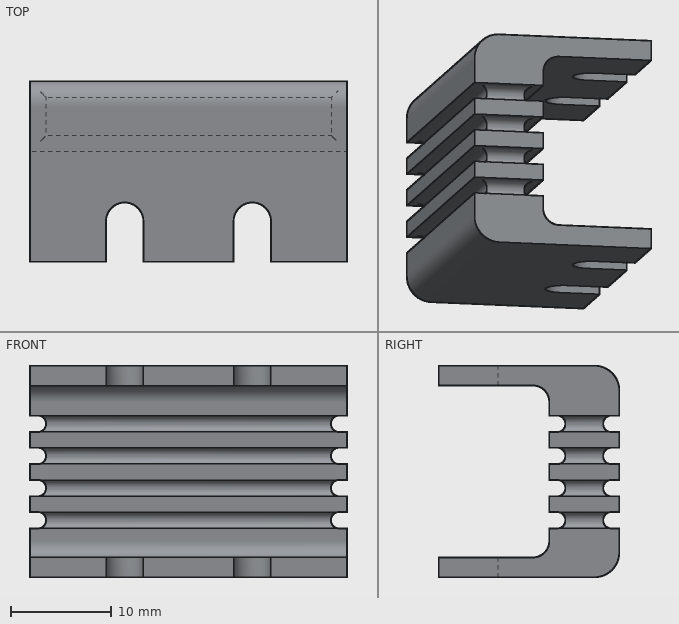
import cadquery as cq

LENGTH = 31.6
DEPTH = 18.0
HEIGHT = 21.09
WALL = 7.0
LEG = 2.0
OUTER_RADIUS = 2.5
INNER_RADIUS = 1.6

SLOT_WIDTH = 3.7
SLOT_DEPTH = 5.9
SLOT_SPACING = 12.7

GROOVE_COUNT = 4
GROOVE_HEIGHT = 1.6
FIN_THICKNESS = 1.6
GROOVE_PITCH = GROOVE_HEIGHT + FIN_THICKNESS
TOP_TO_GROOVE = 5.0
GROOVE_DEPTH = 1.6
GROOVE_FLAT = 0.1
GROOVE_RADIUS = (GROOVE_HEIGHT - GROOVE_FLAT) / 2

BACK = DEPTH / 2
TIP = -DEPTH / 2
WALL_CENTER = BACK - WALL / 2


def make_channel():
    """C-shaped body with rounded outer and inner bends."""
    body = cq.Workplane("XY").box(LENGTH, DEPTH, HEIGHT)
    body = body.edges("|X and >Y").fillet(OUTER_RADIUS)
    opening = (
        cq.Workplane("XY")
        .box(LENGTH, DEPTH - WALL, HEIGHT - 2 * LEG)
        .edges("|X and >Y")
        .fillet(INNER_RADIUS)
        .translate((0, TIP + (DEPTH - WALL) / 2, 0))
    )
    return body.cut(opening)


def make_leg_slot(x):
    """Round-ended slot, open at the leg tips, through both legs."""
    radius = SLOT_WIDTH / 2
    arc_start = TIP + SLOT_DEPTH - radius
    return (
        cq.Workplane("XY", origin=(x, 0, -HEIGHT / 2))
        .moveTo(-radius, TIP)
        .lineTo(-radius, arc_start)
        .threePointArc((0, TIP + SLOT_DEPTH), (radius, arc_start))
        .lineTo(radius, TIP)
        .close()
        .extrude(HEIGHT)
    )


def make_neck_strip(plane, edge_direction, width, thickness):
    """Groove-high strip, centred on the plane, with both ends hollowed by the groove section."""
    strip = cq.Workplane(plane).rect(width, GROOVE_HEIGHT).extrude(thickness / 2, both=True)
    cutter = (
        cq.Workplane(plane)
        .pushPoints([(-width / 2, 0), (width / 2, 0)])
        .rect(2 * GROOVE_DEPTH, GROOVE_HEIGHT)
        .extrude(thickness / 2, both=True)
        .edges(edge_direction)
        .fillet(GROOVE_RADIUS)
    )
    return strip.cut(cutter)


def make_groove():
    """Ring of material removed around the wall, mitred at its four corners."""
    neck_along_x = make_neck_strip("XZ", "|Y", LENGTH, WALL)
    neck_along_y = make_neck_strip("YZ", "|X", WALL, LENGTH)
    slab = cq.Workplane("XY").box(LENGTH, WALL, GROOVE_HEIGHT)
    return slab.cut(neck_along_x.intersect(neck_along_y))


result = make_channel()

for slot_x in (-SLOT_SPACING / 2, SLOT_SPACING / 2):
    result = result.cut(make_leg_slot(slot_x))

groove = make_groove()
first_groove_z = HEIGHT / 2 - TOP_TO_GROOVE - GROOVE_HEIGHT / 2
for index in range(GROOVE_COUNT):
    groove_z = first_groove_z - index * GROOVE_PITCH
    result = result.cut(groove.translate((0, WALL_CENTER, groove_z)))